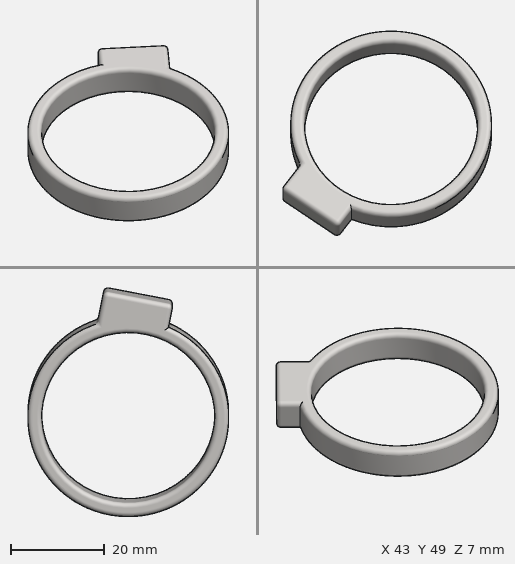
import cadquery as cq
import math

inner_diameter = 37.0
wall = 3.0
height = 7.0
inner_radius = inner_diameter / 2
outer_radius = inner_radius + wall

block_angle = 27.0
block_length = 15.0
block_right = 10.3
block_left = block_right - block_length
block_reach = 26.0

block_root = math.sqrt((inner_radius + wall / 2) ** 2 - block_right**2)

junction_y = math.sqrt(outer_radius**2 - block_right**2)
junction_tolerance = 0.1

edge_radius = 1.0
junction_radius = 1.0


def make_blank():
    """Ring and block in one piece, with all edges sharp."""
    disc = cq.Workplane("XY").circle(outer_radius).extrude(height)
    block = (
        cq.Workplane("XY")
        .moveTo(block_left, block_root)
        .lineTo(block_right, block_root)
        .lineTo(block_right, block_reach)
        .lineTo(block_left, block_reach)
        .close()
        .extrude(height)
    )
    bore = cq.Workplane("XY").circle(inner_radius).extrude(height)
    return disc.union(block).cut(bore)


def round_edges(blank):
    """Round the top and bottom rims and the two outer upright corners of the block."""
    rims = blank.faces(">Z or <Z").edges().vals()
    block_corners = blank.edges("|Z").edges(">Y").vals()
    return blank.newObject(rims + block_corners).fillet(edge_radius)


def round_right_junction(body):
    """Fill the inside corner between the right side of the block and the ring."""
    around_junction = cq.selectors.BoxSelector(
        (block_right - junction_tolerance, junction_y - junction_tolerance, 0),
        (block_right + junction_tolerance, junction_y + junction_tolerance, height),
    )
    return body.edges("|Z").edges(around_junction).fillet(junction_radius)


def make_ring():
    """Ring with its block, finished and turned into place."""
    body = round_right_junction(round_edges(make_blank()))
    return body.rotate((0, 0, 0), (0, 0, 1), block_angle)


ring = make_ring()

result = cq.Compound.makeCompound([ring.val()])